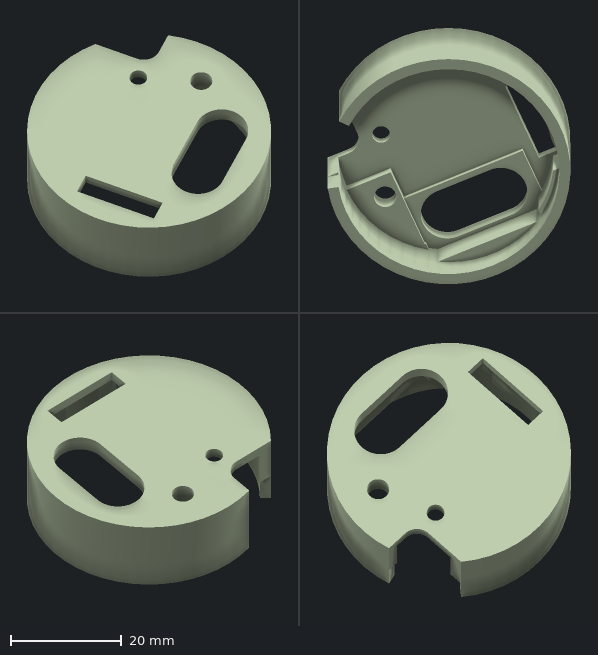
import cadquery as cq
import math

outer_radius = 22.0
height = 14.5
wall = 2.0
roof = 2.0
inner_radius = outer_radius - wall
roof_underside = height - roof
skirt_height = 5.6

lip_radius = 19.0

boss_x = 0.0
boss_y = 11.35
boss_depth = 2.0
boss_bottom = roof_underside - boss_depth

pad_thickness = 3.0
pad_x = 6.03
pad_y = -11.95
window_x = 11.9
window_y = 0.15
window_width = 9.6
window_length = 20.1

notch_x = -5.67
notch_y = 14.1
notch_fillet = 3.0

round_holes = [(-6.7, 10.3, 3.2), (4.0, 14.15, 4.0)]

slot_left, slot_right = -6.35, 8.85
slot_front, slot_back = -17.8, -13.95

slot_gap_left, slot_gap_right = -7.15, 9.5
slot_gap_front = -18.6
window_flat_x = 17.5
window_front, window_back = -10.9, 11.15
left_gap_x = -19.2
left_gap_y = -2.45


def box(x0, x1, y0, y1, z0, z1):
    """Block between two opposite corners."""
    return cq.Workplane("XY").box(x1 - x0, y1 - y0, z1 - z0, centered=False).translate((x0, y0, z0))


def disc(radius, z0, z1):
    """Cylinder on the main axis."""
    return cq.Workplane("XY").workplane(offset=z0).circle(radius).extrude(z1 - z0)


def locating_lip():
    """Ring inside the wall, interrupted around the slot, the window and the left side."""
    cavity = disc(inner_radius, skirt_height, roof_underside)
    lip = cavity.cut(disc(lip_radius, skirt_height, roof_underside))
    flat = box(window_flat_x, outer_radius, window_front, window_back, skirt_height, roof_underside)
    lip = lip.union(flat.intersect(cavity))
    gaps = [
        box(slot_gap_left, slot_gap_right, slot_gap_front, slot_back, skirt_height, roof_underside),
        box(boss_x, window_flat_x, window_front, window_back, skirt_height, roof_underside),
        box(left_gap_x, boss_x, left_gap_y, outer_radius, skirt_height, roof_underside),
        box(boss_x, outer_radius, window_back, outer_radius, skirt_height, boss_bottom),
    ]
    for gap in gaps:
        lip = lip.cut(gap)
    return lip


def hollow_shell():
    """Cup with the lip, corner boss and window pad under its roof."""
    envelope = disc(outer_radius, 0, height)
    cavity = disc(inner_radius, 0, roof_underside)
    boss = box(boss_x, outer_radius, boss_y, outer_radius, boss_bottom, height)
    pad = box(pad_x, outer_radius, pad_y, boss_y, height - pad_thickness, height)
    supports = boss.union(pad).intersect(envelope)
    return envelope.cut(cavity).union(locating_lip()).union(supports)


def rim_notch():
    """Filleted notch in the roof, square below it and radial through the skirt."""
    square = box(-outer_radius, notch_x, notch_y, outer_radius, skirt_height, roof_underside)
    roof_cut = box(-outer_radius, notch_x, notch_y, outer_radius, roof_underside, height)
    roof_cut = roof_cut.edges("|Z and >X and <Y").fillet(notch_fillet)
    rim_y = math.sqrt(outer_radius**2 - notch_x**2)
    rim_x = -math.sqrt(outer_radius**2 - notch_y**2)
    reach = 2
    wedge = (
        cq.Workplane("XY")
        .polyline([(0, 0), (reach * notch_x, reach * rim_y), (reach * rim_x, reach * notch_y)])
        .close()
        .extrude(skirt_height)
    )
    return roof_cut.union(square).union(wedge)


def roof_openings():
    """Round holes, oval window and rectangular slot, all through the roof."""
    openings = box(slot_left, slot_right, slot_front, slot_back, 0, height)
    window = (
        cq.Workplane("XY")
        .center(window_x, window_y)
        .slot2D(window_length, window_width, 90)
        .extrude(height)
    )
    openings = openings.union(window)
    for x, y, diameter in round_holes:
        openings = openings.union(disc(diameter / 2, 0, height).translate((x, y, 0)))
    return openings


result = hollow_shell().cut(rim_notch()).cut(roof_openings())